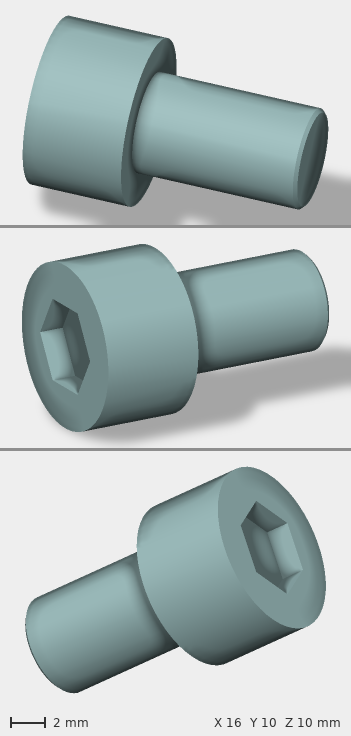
import cadquery as cq
import math

total_length = 16.0
shank_diameter = 6.0
head_diameter = 10.0
head_length = shank_diameter
shank_length = total_length - head_length
tip_chamfer = 0.2
socket_across_flats = head_diameter / 2
socket_across_corners = socket_across_flats / math.cos(math.radians(30))
socket_depth = head_length / 4


def make_head():
    return cq.Workplane("YZ").circle(head_diameter / 2).extrude(head_length)


def make_shank():
    shank = (
        cq.Workplane("YZ", origin=(head_length, 0, 0))
        .circle(shank_diameter / 2)
        .extrude(shank_length)
    )
    return shank.faces(">X").chamfer(tip_chamfer)


def make_socket():
    return cq.Workplane("YZ").polygon(6, socket_across_corners).extrude(socket_depth)


result = make_head().union(make_shank()).cut(make_socket())